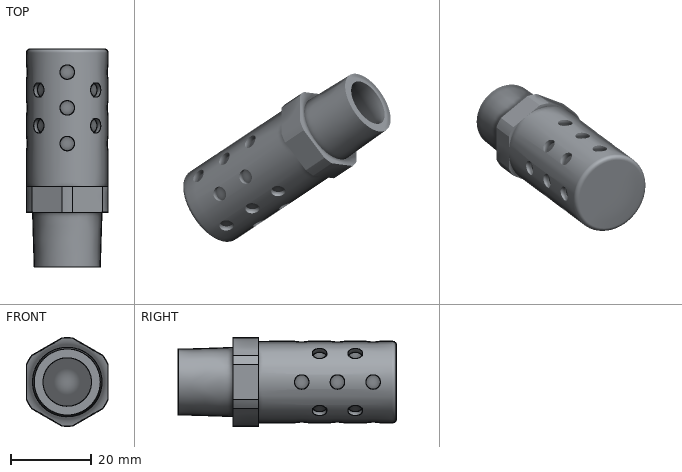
import cadquery as cq
import math

total_length = 54.36
connector_length = 13.65
hex_length = 6.4
hex_start = connector_length
body_start = hex_start + hex_length
body_length = total_length - body_start

body_diameter = 20.32
hex_side_count = 6
hex_across_flats = body_diameter
hex_corner_diameter = 22.09
connector_base_diameter = 17.3
connector_taper = 1 / 16
connector_tip_diameter = connector_base_diameter - connector_taper * connector_length
bore_diameter = 12.07
bore_depth = body_start
end_round_radius = 1.02

vent_diameter = 3.6
vent_depth = 1.5
vent_pitch = 8.89
vent_column_count = 8
first_vent_from_end = 5.8
long_column_vents = 3
short_column_vents = 2


def cylinder_along_y(start, length, diameter):
    """Solid cylinder on the Y axis, running toward +Y from start."""
    return (
        cq.Workplane("XZ", origin=(0, start, 0))
        .circle(diameter / 2)
        .extrude(-length)
    )


def make_body():
    body = cylinder_along_y(body_start, body_length, body_diameter)
    return body.faces(">Y").edges().fillet(end_round_radius)


def make_hex():
    """Hexagon with two flats facing +/-X and its corners turned to a circle."""
    point_to_point = hex_across_flats / math.cos(math.pi / hex_side_count)
    hexagon = (
        cq.Workplane("XZ", origin=(0, hex_start, 0))
        .transformed(rotate=(0, 0, 90))
        .polygon(hex_side_count, point_to_point)
        .extrude(-hex_length)
    )
    return hexagon.intersect(cylinder_along_y(hex_start, hex_length, hex_corner_diameter))


def make_connector():
    """Tapered connector, narrowest at its open tip."""
    return (
        cq.Workplane("XY")
        .polyline([
            (0, 0),
            (connector_tip_diameter / 2, 0),
            (connector_base_diameter / 2, connector_length),
            (0, connector_length),
        ])
        .close()
        .revolve(360, (0, 0, 0), (0, 1, 0))
    )


def make_vent_column(vent_count, first_from_end):
    """Row of vent cutters along the top (+Z) line of the body."""
    floor_height = body_diameter / 2 - vent_depth
    centers = [(0, total_length - first_from_end - i * vent_pitch) for i in range(vent_count)]
    return (
        cq.Workplane("XY", origin=(0, 0, floor_height))
        .pushPoints(centers)
        .circle(vent_diameter / 2)
        .extrude(2 * vent_depth)
    )


def cut_vents(part):
    """Long and short columns alternate, staggered by half a pitch."""
    long_column = make_vent_column(long_column_vents, first_vent_from_end)
    short_column = make_vent_column(short_column_vents, first_vent_from_end + vent_pitch / 2)
    for index in range(vent_column_count):
        column = long_column if index % 2 == 0 else short_column
        angle = index * 360 / vent_column_count
        part = part.cut(column.rotate((0, 0, 0), (0, 1, 0), angle))
    return part


result = make_body().union(make_hex()).union(make_connector())
result = result.cut(cylinder_along_y(0, bore_depth, bore_diameter))
result = cut_vents(result)